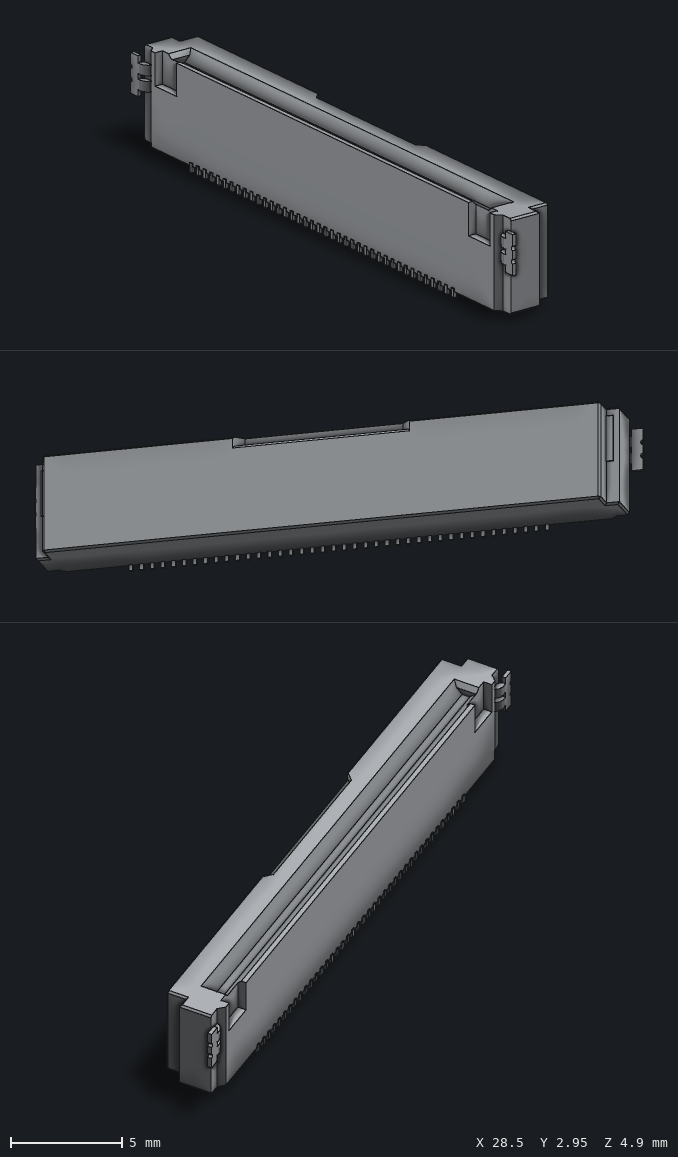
import cadquery as cq

total_width = 28.5
total_depth = 2.95
housing_height = 4.62
front_y = 0.05
body_half_width = 13.075
wing_half_width = 13.675
shoulder_y = 1.95
bevel_run = 0.3
wing_front_y = front_y + bevel_run
front_half_width = body_half_width - bevel_run
edge_chamfer = 0.095

slot_half_length = 12.03
slot_depth = 0.52
slot_front_y = 0.29
slot_back_y = 1.72
end_chamfer = 0.23

notch_outer_x = 12.48
notch_inner_x = 10.88
notch_height = 1.6
notch_back_y = 0.47

recess_half_length = 4.15
recess_reach = 0.45
recess_drop = 0.4
recess_crown = 0.15
recess_edge_drop = recess_drop + recess_crown

contact_count = 40
contact_pitch = 0.5
contact_width = 0.18
contact_thickness = 0.17
contact_overhang = 0.28
contact_overlap = 0.17

anchor_setback = 0.5
anchor_top_z = housing_height - anchor_setback
anchor_height = 1.98
anchor_mid_z = anchor_top_z - anchor_height / 2
anchor_thickness = 0.2
plate_outer_x = total_width / 2
plate_inner_x = 13.7
nick_radius = 0.1
nick_offset = 0.32
leg_height = 0.52
leg_offset = 0.39
leg_bend_x = 13.54
leg_embed = 0.1
leg_top_y = wing_front_y + leg_embed
tab_height = 2.15
tab_inner_x = 13.0
tab_outer_x = 13.4
tab_protrusion = 0.08


def block(x_range, y_range, z_range):
    """Axis-aligned box from (low, high) limits."""
    lows, highs = zip(x_range, y_range, z_range)
    size = [high - low for low, high in zip(lows, highs)]
    return cq.Workplane("XY").box(*size, centered=False).translate(lows)


def both_ends(shape):
    """The shape together with its mirror image at the other end."""
    return shape.union(shape.mirror("YZ"))


def make_housing():
    half_outline = [
        (body_half_width, total_depth),
        (body_half_width, shoulder_y),
        (wing_half_width, shoulder_y),
        (wing_half_width, wing_front_y),
        (body_half_width, wing_front_y),
        (front_half_width, front_y),
    ]
    other_half = [(-x, y) for x, y in reversed(half_outline)]
    housing = cq.Workplane("XY").polyline(half_outline + other_half).close().extrude(housing_height)
    margin = edge_chamfer / 10
    rear_selector = cq.selectors.BoxSelector(
        (-total_width, wing_front_y + margin, -margin),
        (total_width, total_depth + margin, housing_height + margin),
    )
    rims = housing.faces("|Z").edges(rear_selector)
    rear_corners = housing.edges("|Z").edges(">Y")
    return housing.newObject(rims.vals() + rear_corners.vals()).chamfer(edge_chamfer)


def make_slot():
    """Slot flared by 45 degree chamfers at the front and rear and smaller ones at its ends."""
    floor_z = housing_height - slot_depth
    flared = [
        (slot_front_y, housing_height),
        (slot_front_y + slot_depth, floor_z),
        (slot_back_y - slot_depth, floor_z),
        (slot_back_y, housing_height),
    ]
    trough = cq.Workplane("YZ").polyline(flared).close().extrude(slot_half_length, both=True)
    wall_x = slot_half_length - end_chamfer
    chamfer_z = housing_height - end_chamfer
    ends = [
        (-slot_half_length, housing_height),
        (-wall_x, chamfer_z),
        (-wall_x, floor_z),
        (wall_x, floor_z),
        (wall_x, chamfer_z),
        (slot_half_length, housing_height),
    ]
    end_limit = cq.Workplane("XZ").polyline(ends).close().extrude(-total_depth)
    return trough.intersect(end_limit)


def make_notches():
    notch = block(
        (notch_inner_x, notch_outer_x),
        (0, notch_back_y),
        (housing_height - notch_height, housing_height),
    )
    return both_ends(notch)


def make_rear_recess():
    """Recess open to the rear and top, with 45 degree ends and a convex floor."""
    inner_y = total_depth - recess_reach
    edge_z = housing_height - recess_edge_drop
    crown = (total_depth - recess_reach / 2, housing_height - recess_drop)
    section = (
        cq.Workplane("YZ")
        .moveTo(inner_y, housing_height)
        .lineTo(inner_y, edge_z)
        .threePointArc(crown, (total_depth, edge_z))
        .lineTo(total_depth, housing_height)
        .close()
        .extrude(recess_half_length, both=True)
    )
    inner_half_length = recess_half_length - recess_reach
    plan = [
        (-recess_half_length, total_depth),
        (-inner_half_length, inner_y),
        (inner_half_length, inner_y),
        (recess_half_length, total_depth),
    ]
    return section.intersect(cq.Workplane("XY").polyline(plan).close().extrude(housing_height))


def make_contacts():
    first_x = -(contact_count - 1) * contact_pitch / 2
    positions = [(first_x + i * contact_pitch, 0) for i in range(contact_count)]
    length = contact_overhang + contact_overlap
    return (
        cq.Workplane("XY", origin=(0, contact_thickness / 2, -contact_overhang))
        .pushPoints(positions)
        .rect(contact_width, contact_thickness)
        .extrude(length)
    )


def make_anchor():
    """Solder plate with two curved legs into the wing and a tab showing at the shoulder."""
    anchor = block(
        (plate_inner_x, plate_outer_x),
        (0, anchor_thickness),
        (anchor_top_z - anchor_height, anchor_top_z),
    )
    for side in (-1, 1):
        nick = (
            cq.Workplane("XZ", origin=(plate_outer_x, 0, anchor_mid_z + side * nick_offset))
            .circle(nick_radius)
            .extrude(-anchor_thickness)
        )
        anchor = anchor.cut(nick)
    for side in (-1, 1):
        leg = (
            cq.Workplane("XY", origin=(0, 0, anchor_mid_z + side * leg_offset - leg_height / 2))
            .moveTo(plate_inner_x, 0)
            .lineTo(leg_bend_x, 0)
            .tangentArcPoint((body_half_width, leg_top_y), relative=False)
            .lineTo(leg_bend_x - anchor_thickness / 2, leg_top_y)
            .lineTo(plate_inner_x, anchor_thickness)
            .close()
            .extrude(leg_height)
        )
        anchor = anchor.union(leg)
    tab = block(
        (tab_inner_x, tab_outer_x),
        (shoulder_y - anchor_thickness, shoulder_y + tab_protrusion),
        (anchor_mid_z - tab_height / 2, anchor_mid_z + tab_height / 2),
    )
    return anchor.union(tab)


housing = make_housing().cut(make_slot()).cut(make_notches()).cut(make_rear_recess())
result = housing.union(make_contacts()).union(both_ends(make_anchor()))